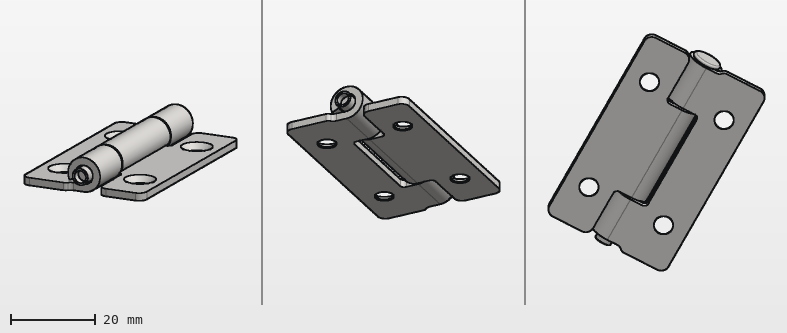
import cadquery as cq
import math

WIDTH = 32.0
LEAF_LENGTH = 51.0
THICKNESS = 1.9
CORNER_RADIUS = 2.0

KNUCKLE_DIAMETER = 8.5
KNUCKLE_RADIUS = KNUCKLE_DIAMETER / 2
BORE_RADIUS = KNUCKLE_RADIUS - THICKNESS
AXIS_Z = KNUCKLE_RADIUS
ROLL_ANGLE = 295.0
KNUCKLES_LENGTH = 49.05
MIDDLE_LENGTH = 25.0
KNUCKLE_GAP = 0.45

OUTER_X = WIDTH / 2
LEAF_END_Y = LEAF_LENGTH / 2
KNUCKLE_END_Y = KNUCKLES_LENGTH / 2
MIDDLE_END_Y = MIDDLE_LENGTH / 2
END_KNUCKLE_INNER_Y = MIDDLE_END_Y + KNUCKLE_GAP

EDGE_X = 4.25
ROOT_RADIUS = 1.05

STEP_START_X = 5.05
STEP_MIDDLE_X = 4.0
STEP_END_X = 2.8

HOLE_DIAMETER = 4.5
SINK_DIAMETER = 7.6
SINK_ANGLE = 90.0
HOLE_SPACING_X = 20.0
HOLE_SPACING_Y = 30.0

PIN_LENGTH = 52.0
PIN_DIAMETER = 4.05
HEAD_DIAMETER = 7.05
TIP_BORE_DIAMETER = 3.0
PIN_HEAD_Y = LEAF_END_Y
PIN_TIP_Y = PIN_HEAD_Y - PIN_LENGTH
TIP_BORE_DEPTH = -KNUCKLE_END_Y - PIN_TIP_Y


def roll_point(radius, angle):
    """X, Z point on the roll, at an angle in degrees from its bottom toward +X."""
    turn = math.radians(angle)
    return radius * math.sin(turn), AXIS_Z - radius * math.cos(turn)


def rolled_knuckle(y_start, y_end):
    """Strip that continues a left-hand leaf at X = 0 and rolls around the hinge axis."""
    return (
        cq.Workplane("XZ", origin=(0, y_end, 0))
        .moveTo(*roll_point(KNUCKLE_RADIUS, 0))
        .threePointArc(
            roll_point(KNUCKLE_RADIUS, ROLL_ANGLE / 2), roll_point(KNUCKLE_RADIUS, ROLL_ANGLE)
        )
        .lineTo(*roll_point(BORE_RADIUS, ROLL_ANGLE))
        .threePointArc(roll_point(BORE_RADIUS, ROLL_ANGLE / 2), roll_point(BORE_RADIUS, 0))
        .close()
        .extrude(y_end - y_start)
    )


def round_corners(leaf, edges):
    """Round the chosen upright corners of a leaf."""
    return leaf.edges("|Z").edges(edges).fillet(CORNER_RADIUS)


def cut_screw_holes(leaf):
    """Cut the two countersunk holes of a left-hand leaf."""
    return (
        leaf.copyWorkplane(cq.Workplane("XY", origin=(0, 0, THICKNESS)))
        .pushPoints([(-HOLE_SPACING_X / 2, side * HOLE_SPACING_Y / 2) for side in (-1, 1)])
        .cskHole(HOLE_DIAMETER, SINK_DIAMETER, SINK_ANGLE)
    )


def make_left_leaf():
    """Leaf that carries the two end knuckles."""
    step_share = (STEP_START_X - STEP_MIDDLE_X) / (STEP_START_X - STEP_END_X)
    step_middle_y = LEAF_END_Y - step_share * (LEAF_END_Y - KNUCKLE_END_Y)
    half_plate = (
        cq.Workplane("XY")
        .moveTo(-OUTER_X, 0)
        .lineTo(-OUTER_X, LEAF_END_Y)
        .lineTo(-STEP_START_X, LEAF_END_Y)
        .tangentArcPoint((-STEP_MIDDLE_X, step_middle_y), relative=False)
        .tangentArcPoint((-STEP_END_X, KNUCKLE_END_Y), relative=False)
        .lineTo(0, KNUCKLE_END_Y)
        .lineTo(0, END_KNUCKLE_INNER_Y)
        .lineTo(-EDGE_X + ROOT_RADIUS, END_KNUCKLE_INNER_Y)
        .tangentArcPoint((-EDGE_X, END_KNUCKLE_INNER_Y - ROOT_RADIUS), relative=False)
        .lineTo(-EDGE_X, 0)
        .close()
        .extrude(THICKNESS)
    )
    half_leaf = half_plate.union(rolled_knuckle(END_KNUCKLE_INNER_Y, KNUCKLE_END_Y))
    leaf = half_leaf.union(half_leaf.mirror("XZ"))
    return cut_screw_holes(round_corners(leaf, "<X"))


def make_right_leaf():
    """Leaf that carries the middle knuckle, shaped on the left and mirrored to the right."""
    half_plate = (
        cq.Workplane("XY")
        .moveTo(-OUTER_X, 0)
        .lineTo(-OUTER_X, LEAF_END_Y)
        .lineTo(-EDGE_X, LEAF_END_Y)
        .lineTo(-EDGE_X, MIDDLE_END_Y + ROOT_RADIUS)
        .tangentArcPoint((-EDGE_X + ROOT_RADIUS, MIDDLE_END_Y), relative=False)
        .lineTo(0, MIDDLE_END_Y)
        .lineTo(0, 0)
        .close()
        .extrude(THICKNESS)
    )
    plate = half_plate.union(half_plate.mirror("XZ"))
    plate = round_corners(plate, "<X")
    leaf_end_band = cq.selectors.BoxSelector(
        (-EDGE_X - CORNER_RADIUS / 2, -LEAF_LENGTH, -THICKNESS),
        (0, LEAF_LENGTH, 2 * THICKNESS),
    )
    inner_corners = plate.edges("|Z").edges(leaf_end_band).edges("<Y or >Y")
    plate = inner_corners.fillet(CORNER_RADIUS)
    leaf = plate.union(rolled_knuckle(-MIDDLE_END_Y, MIDDLE_END_Y))
    return cut_screw_holes(leaf).mirror("YZ")


def make_pin():
    """Headed pin through all the knuckles."""
    head_rim = HEAD_DIAMETER / 2
    head_round = (PIN_HEAD_Y - KNUCKLE_END_Y) / 2
    head = (
        cq.Workplane("XY", origin=(0, KNUCKLE_END_Y, AXIS_Z))
        .lineTo(head_rim - head_round, 0)
        .threePointArc((head_rim, head_round), (head_rim - head_round, 2 * head_round))
        .lineTo(0, 2 * head_round)
        .close()
        .revolve(360, (0, 0), (0, 1))
    )
    shank = (
        cq.Workplane("XZ", origin=(0, KNUCKLE_END_Y, AXIS_Z))
        .circle(PIN_DIAMETER / 2)
        .extrude(KNUCKLE_END_Y - PIN_TIP_Y)
    )
    tip_bore = (
        cq.Workplane("XZ", origin=(0, PIN_TIP_Y + TIP_BORE_DEPTH, AXIS_Z))
        .circle(TIP_BORE_DIAMETER / 2)
        .extrude(TIP_BORE_DEPTH)
    )
    return head.union(shank).cut(tip_bore)


left_leaf = make_left_leaf()
right_leaf = make_right_leaf()
pin = make_pin()

result = cq.Compound.makeCompound([body.solids().val() for body in (left_leaf, right_leaf, pin)])